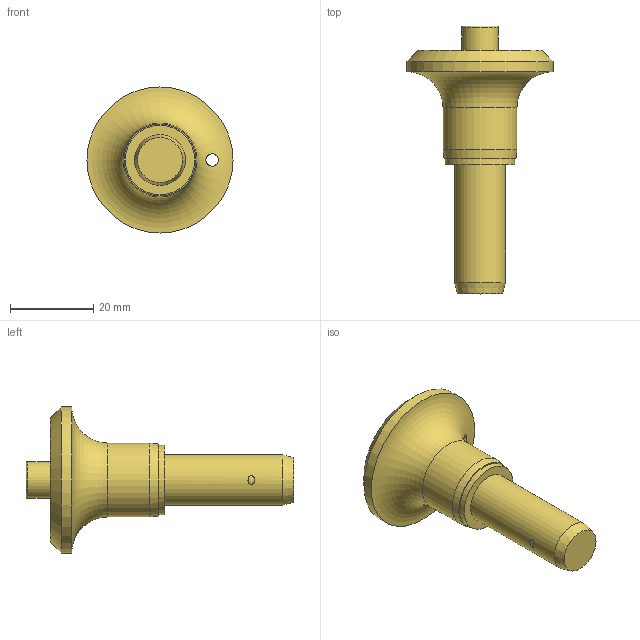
import cadquery as cq
import math

shank_diameter = 12.15
shank_length = 31.0
tip_diameter = 10.8
tip_length = 2.7

collar_diameter = 16.6
collar_length = 1.5

grip_diameter = 17.7
grip_length = 10.1
grip_end_diameter = 17.2
grip_end_length = 2.0

head_diameter = 35.0
rim_width = 2.5
head_chamfer = 2.6

button_diameter = 8.8
button_length = 5.85
button_edge_radius = 0.4

lanyard_hole_diameter = 3.0
lanyard_hole_offset = 12.5

ball_radius = 3.0
ball_protrusion = 0.1
ball_distance = 20.75

collar_end = collar_length
grip_start = collar_end + grip_end_length
grip_finish = grip_start + grip_length
flare_radius = (head_diameter - grip_diameter) / 2
rim_start = grip_finish + flare_radius
rim_end = rim_start + rim_width
head_top = rim_end + head_chamfer
button_top = head_top + button_length


def make_body():
    """Revolve the half outline of shank, collar, grip, flared head and button."""
    shank_radius = shank_diameter / 2
    collar_radius = collar_diameter / 2
    grip_radius = grip_diameter / 2
    head_radius = head_diameter / 2
    button_radius = button_diameter / 2
    flare_mid_offset = flare_radius * math.sqrt(0.5)
    flare_mid = (head_radius - flare_mid_offset, grip_finish + flare_mid_offset)
    outline = (
        cq.Workplane("XY")
        .moveTo(0, -shank_length)
        .lineTo(tip_diameter / 2, -shank_length)
        .lineTo(shank_radius, tip_length - shank_length)
        .lineTo(shank_radius, 0)
        .lineTo(collar_radius, 0)
        .lineTo(collar_radius, collar_end)
        .lineTo(grip_end_diameter / 2, collar_end)
        .lineTo(grip_radius, grip_start)
        .lineTo(grip_radius, grip_finish)
        .threePointArc(flare_mid, (head_radius, rim_start))
        .lineTo(head_radius, rim_end)
        .lineTo(head_radius - head_chamfer, head_top)
        .lineTo(button_radius, head_top)
        .lineTo(button_radius, button_top - button_edge_radius)
        .radiusArc((button_radius - button_edge_radius, button_top), -button_edge_radius)
        .lineTo(0, button_top)
        .close()
    )
    return outline.revolve(360, (0, 0), (0, 1))


def make_locking_balls():
    """Two balls buried in the shank, each showing a shallow cap on the +X or -X side."""
    ball_offset = shank_diameter / 2 + ball_protrusion - ball_radius
    ball = cq.Workplane("XY").sphere(ball_radius).translate((ball_offset, -ball_distance, 0))
    return ball.union(ball.mirror("YZ"))


def make_lanyard_hole():
    """Cutter for the hole through the flared head, parallel to the axis."""
    cutter_start = cq.Workplane("XZ", origin=(lanyard_hole_offset, head_top, 0))
    return cutter_start.circle(lanyard_hole_diameter / 2).extrude(head_top - grip_finish)


result = make_body().union(make_locking_balls()).cut(make_lanyard_hole())